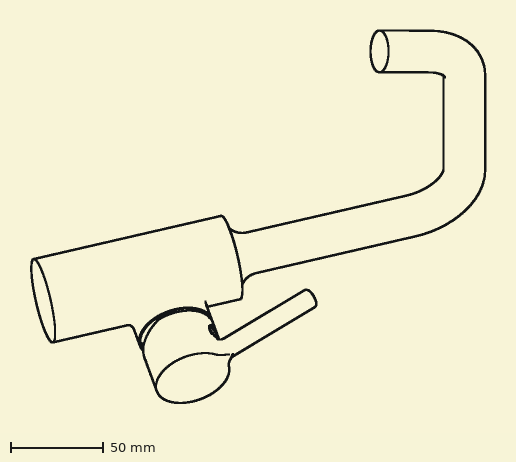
import cadquery as cq
import math

BODY_DIAMETER = 46.6
BODY_LENGTH = 106.0

SPOUT_DIAMETER = 22.8
FLARE_END_Y = 117.7
SPOUT_REACH = 249.7
SPOUT_TOP_Z = 162.65
BEND_RADIUS = 30.0
OUTLET_ANGLE = math.radians(20)
OUTLET_LENGTH = 30.1

ARM_Y = 63.0
ARM_DIAMETER = 41.6
ARM_END_X = 41.2
ARM_FILLET = 6.0
CARTRIDGE_DIAMETER = 40.0
HANDLE_START_X = 43.4
HANDLE_END_X = 73.86
HANDLE_RELIEF_DEPTH = 6.6

LEVER_ANGLE = math.radians(30)
LEVER_DIAMETER = 10.9
LEVER_LENGTH = 80.0
LEVER_ROOT_FILLET = 5.4
LEVER_TIP_FILLET = 2.0

MARKER_X = 54.5
MARKER_DIAMETER = 8.6
MARKER_DEPTH = 0.8

BODY_RADIUS = BODY_DIAMETER / 2
SPOUT_RADIUS = SPOUT_DIAMETER / 2
ARM_RADIUS = ARM_DIAMETER / 2
LEVER_X = HANDLE_END_X - LEVER_DIAMETER / 2
LEVER_DIRECTION = cq.Vector(0, math.cos(LEVER_ANGLE), math.sin(LEVER_ANGLE))


def arm_cylinder(diameter, start_x, end_x):
    """Cylinder on the side-arm axis between two X positions."""
    start = cq.Workplane("YZ", origin=(start_x, ARM_Y, 0))
    return start.circle(diameter / 2).extrude(end_x - start_x)


def lever_workplane(x, distance):
    """Workplane square to the lever, at an X position and a distance from the arm axis."""
    origin = cq.Vector(x, ARM_Y, 0) + LEVER_DIRECTION * distance
    return cq.Workplane(cq.Plane(origin=origin, xDir=(1, 0, 0), normal=LEVER_DIRECTION))


def make_body():
    """Body and its flare down to the spout, revolved about Y."""
    arc_middle = math.radians(45)
    flare_width = BODY_RADIUS - SPOUT_RADIUS
    flare_height = FLARE_END_Y - BODY_LENGTH
    flare_middle = (
        BODY_RADIUS - flare_width * math.sin(arc_middle),
        FLARE_END_Y - flare_height * math.cos(arc_middle),
    )
    profile = (
        cq.Workplane("XY")
        .lineTo(BODY_RADIUS, 0)
        .lineTo(BODY_RADIUS, BODY_LENGTH)
        .threePointArc(flare_middle, (SPOUT_RADIUS, FLARE_END_Y))
        .lineTo(0, FLARE_END_Y)
        .close()
    )
    return profile.revolve(360, (0, 0, 0), (0, 1, 0))


def make_spout():
    """Tube that runs back, bends up, rises, bends forward and ends in a straight outlet."""
    rise_y = SPOUT_REACH - SPOUT_RADIUS
    outlet_z = SPOUT_TOP_Z - SPOUT_RADIUS * math.cos(OUTLET_ANGLE)
    bend_end_y = rise_y - BEND_RADIUS * (1 - math.sin(OUTLET_ANGLE))
    bend_end_z = outlet_z - OUTLET_LENGTH * math.sin(OUTLET_ANGLE)
    rise_top_z = bend_end_z - BEND_RADIUS * math.cos(OUTLET_ANGLE)
    outlet_y = bend_end_y - OUTLET_LENGTH * math.cos(OUTLET_ANGLE)
    path = (
        cq.Workplane("YZ")
        .moveTo(BODY_LENGTH, 0)
        .lineTo(rise_y - BEND_RADIUS, 0)
        .tangentArcPoint((rise_y, BEND_RADIUS), relative=False)
        .lineTo(rise_y, rise_top_z)
        .tangentArcPoint((bend_end_y, bend_end_z), relative=False)
        .lineTo(outlet_y, outlet_z)
    )
    section = cq.Workplane("XZ", origin=(0, BODY_LENGTH, 0)).circle(SPOUT_RADIUS)
    return section.sweep(path)


def add_arm(body):
    """Join the side arm to the body, with a fillet where they meet."""
    joined = body.union(arm_cylinder(ARM_DIAMETER, 0, ARM_END_X))
    joint = cq.selectors.BoxSelector(
        (0, ARM_Y - ARM_RADIUS, -ARM_RADIUS),
        ((BODY_RADIUS + ARM_END_X) / 2, ARM_Y + ARM_RADIUS, ARM_RADIUS),
    )
    return joined.edges(joint).edges("not %LINE").fillet(ARM_FILLET)


def make_cartridge():
    """Ball filling the gap between the arm and the handle."""
    return cq.Workplane("XY", origin=(ARM_END_X, ARM_Y, 0)).sphere(CARTRIDGE_DIAMETER / 2)


def make_lever():
    """Rod from the arm axis to the rounded tip."""
    rod = lever_workplane(LEVER_X, 0).circle(LEVER_DIAMETER / 2).extrude(LEVER_LENGTH)
    tip = cq.selectors.DirectionMinMaxSelector(LEVER_DIRECTION)
    return rod.faces(tip).edges().fillet(LEVER_TIP_FILLET)


def make_handle_relief():
    """Wedge that slants the inner end of the handle on the side away from the lever."""
    wedge_plane = cq.Plane(
        origin=(HANDLE_START_X, ARM_Y, 0),
        xDir=(1, 0, 0),
        normal=(0, LEVER_DIRECTION.z, -LEVER_DIRECTION.y),
    )
    return (
        cq.Workplane(wedge_plane)
        .lineTo(0, ARM_RADIUS)
        .lineTo(HANDLE_RELIEF_DEPTH, ARM_RADIUS)
        .close()
        .extrude(ARM_DIAMETER, both=True)
    )


def make_marker_recess():
    """Cutter for the marker, reaching from outside the handle down to its floor."""
    floor = lever_workplane(MARKER_X, ARM_RADIUS - MARKER_DEPTH)
    return floor.circle(MARKER_DIAMETER / 2).extrude(2 * MARKER_DEPTH)


def make_handle():
    """Handle with its lever, relief and marker."""
    blank_end_x = HANDLE_END_X + 2 * LEVER_DIAMETER
    blank = arm_cylinder(ARM_DIAMETER, HANDLE_START_X, blank_end_x)
    joined = blank.union(make_lever())
    root = cq.selectors.BoxSelector(
        (LEVER_X - LEVER_DIAMETER, ARM_Y, 0),
        (LEVER_X + LEVER_DIAMETER, ARM_Y + ARM_DIAMETER, ARM_RADIUS),
    )
    joined = joined.edges(root).edges("not %LINE").fillet(LEVER_ROOT_FILLET)
    waste = arm_cylinder(2 * ARM_DIAMETER, HANDLE_END_X, blank_end_x)
    return joined.cut(waste).cut(make_handle_relief()).cut(make_marker_recess())


result = add_arm(make_body())
result = result.union(make_spout())
result = result.union(make_cartridge())
result = result.union(make_handle())